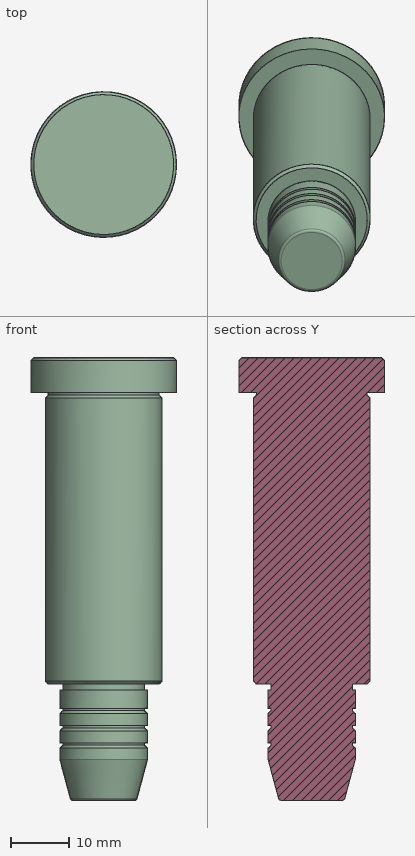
import cadquery as cq
import math

total_length = 76.0
head_radius = 12.5
head_height = 6.0
shank_radius = 10.0
shank_bottom = 20.0
pilot_radius = 7.5

chamfer = 0.5
relief_depth = 0.5
head_relief_width = 0.45
pilot_relief_width = 1.0

groove_count = 3
groove_pitch = 3.0
first_groove_top = 15.8
groove_floor_width = 0.4

taper_top = 7.1
taper_angle = math.radians(15)
tip_fillet = 0.5

head_bottom = total_length - head_height
taper_bottom_radius = pilot_radius - taper_top * math.tan(taper_angle)


def cylinder(radius, bottom, top):
    """Cylinder about the Z axis between two heights."""
    return cq.Workplane("XY").workplane(offset=bottom).circle(radius).extrude(top - bottom)


def pin_head():
    """Disc head with a chamfered top edge."""
    return cylinder(head_radius, head_bottom, total_length).faces(">Z").chamfer(chamfer)


def shank():
    """Main shank, chamfered at both ends, with a relief neck under the head."""
    body_top = head_bottom - head_relief_width
    body = cylinder(shank_radius, shank_bottom, body_top).faces("<Z or >Z").chamfer(chamfer)
    neck = cylinder(shank_radius - relief_depth, body_top, head_bottom)
    return body.union(neck)


def pilot():
    """Pilot with a relief neck, a tapered tip and a rounded end."""
    pilot_top = shank_bottom - pilot_relief_width
    neck_radius = pilot_radius - relief_depth
    outline = [
        (0, 0),
        (taper_bottom_radius, 0),
        (pilot_radius, taper_top),
        (pilot_radius, pilot_top),
        (neck_radius, pilot_top),
        (neck_radius, shank_bottom),
        (0, shank_bottom),
    ]
    body = cq.Workplane("XZ").polyline(outline).close().revolve(360, (0, 0), (0, 1))
    return body.faces("<Z").edges().fillet(tip_fillet)


def ring_groove(top):
    """Cutter for a groove with a square upper wall and a sloped lower wall."""
    floor_radius = pilot_radius - relief_depth
    floor_bottom = top - groove_floor_width
    section = [
        (floor_radius, top),
        (pilot_radius, top),
        (pilot_radius, floor_bottom - relief_depth),
        (floor_radius, floor_bottom),
    ]
    return cq.Workplane("XZ").polyline(section).close().revolve(360, (0, 0), (0, 1))


result = pin_head().union(shank()).union(pilot())
for index in range(groove_count):
    result = result.cut(ring_groove(first_groove_top - index * groove_pitch))